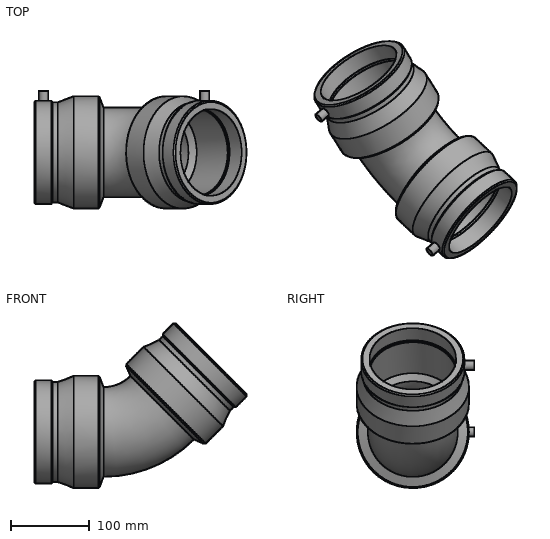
import cadquery as cq
import math

bend_angle = 45
bend_radius = 105.1
pipe_radius = 57.2
pipe_bore_radius = 47.5

collar_radius = 131.5 / 2
groove_radius = 127.5 / 2
body_radius = 143.0 / 2
socket_bore_radius = 110.0 / 2
face_chamfer = 2.0
shoulder_edge_drop = 1.5

collar_end = 21.3
groove_start = 23.2
groove_end = 29.7
flare_end = 50.0
body_end = 81.0
shoulder_edge = 83.0
socket_length = 88.0

ring_start = 22.0
ring_width = 3.2
ring_depth = 0.5

pin_radius = 12.0 / 2
pin_station = 11.5
pin_tip = 78.2
pin_root = (socket_bore_radius + collar_radius) / 2


def revolve_about_x(points):
    profile = cq.Workplane("XY").polyline(points).close()
    return profile.revolve(360, (0, 0, 0), (1, 0, 0))


def make_socket_outside():
    """Collar, groove, flare, body and shoulder, with the terminal pin."""
    shell = revolve_about_x([
        (0, 0),
        (0, collar_radius - face_chamfer),
        (face_chamfer, collar_radius),
        (collar_end, collar_radius),
        (groove_start, groove_radius),
        (groove_end, groove_radius),
        (flare_end, body_radius),
        (body_end, body_radius),
        (shoulder_edge, body_radius - shoulder_edge_drop),
        (socket_length, pipe_radius),
        (socket_length, 0),
    ])
    pin = (
        cq.Workplane("XZ", origin=(pin_station, pin_tip, 0))
        .circle(pin_radius)
        .extrude(pin_tip - pin_root)
    )
    return shell.union(pin)


def make_socket_bore():
    """Socket bore with its ring groove, tapering down to the pipe bore."""
    ring_radius = socket_bore_radius + ring_depth
    return revolve_about_x([
        (0, 0),
        (0, socket_bore_radius),
        (ring_start, socket_bore_radius),
        (ring_start, ring_radius),
        (ring_start + ring_width, ring_radius),
        (ring_start + ring_width, socket_bore_radius),
        (body_end, socket_bore_radius),
        (socket_length, pipe_bore_radius),
        (socket_length, 0),
    ])


def make_bend(radius):
    """Solid elbow of the given radius between the two sockets."""
    return (
        cq.Workplane("YZ", origin=(socket_length, 0, 0))
        .circle(radius)
        .revolve(bend_angle, (0, bend_radius, 0), (-1, bend_radius, 0))
    )


def mirror_to_outlet(socket):
    """Mirror a socket across the middle of the bend onto the outlet end."""
    half_angle = math.radians(bend_angle / 2)
    normal = cq.Vector(math.cos(half_angle), 0, math.sin(half_angle))
    bend_centre = (socket_length, 0, bend_radius)
    return socket.mirror(normal, bend_centre)


socket_outside = make_socket_outside()
socket_bore = make_socket_bore()

outside = make_bend(pipe_radius).union(socket_outside).union(mirror_to_outlet(socket_outside))
result = (
    outside.cut(make_bend(pipe_bore_radius))
    .cut(socket_bore)
    .cut(mirror_to_outlet(socket_bore))
)